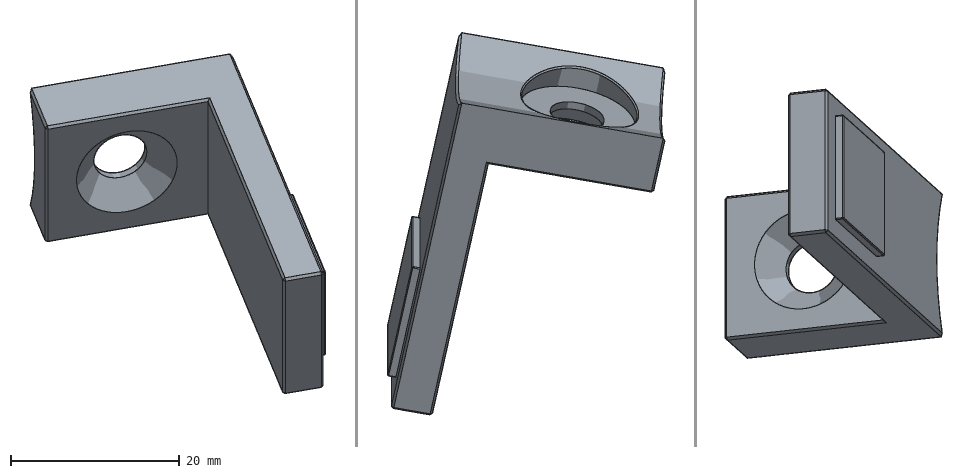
import cadquery as cq

LENGTH = 42.0
DEPTH = 25.0
HEIGHT = 18.0
ARM_THICKNESS = 5.0
LEG_THICKNESS = 7.5
EDGE_CHAMFER = 0.3

CRADLE_RADIUS = 20.0

HOLE_DIAMETER = 6.5
BORE_DIAMETER = 14.0
BORE_FLOOR_X = 3.6
BORE_LIP = 0.15
NECK_LENGTH = 0.95
HOLE_Y = 10.0

PAD_LENGTH = 15.0
PAD_WIDTH = 13.02
PAD_RISE = 1.0
PAD_END_MARGIN = 3.0
PAD_CHAMFER = 0.13

MID_Z = HEIGHT / 2


def make_bracket():
    """L-shaped body with the leg along Y and the arm along X."""
    arm_front = DEPTH - ARM_THICKNESS
    body = (
        cq.Workplane("XY")
        .polyline([
            (0, 0),
            (LEG_THICKNESS, 0),
            (LEG_THICKNESS, arm_front),
            (LENGTH, arm_front),
            (LENGTH, DEPTH),
            (0, DEPTH),
        ])
        .close()
        .extrude(HEIGHT)
    )
    half_height = HEIGHT / 2
    axis_x = -(CRADLE_RADIUS**2 - half_height**2) ** 0.5
    cradle = (
        cq.Workplane("XZ", origin=(axis_x, 0, MID_Z))
        .circle(CRADLE_RADIUS)
        .extrude(-DEPTH)
    )
    body = body.cut(cradle)

    cradle_edges = cq.selectors.BoxSelector((-0.4, 0.4, -0.4), (0.4, DEPTH - 0.4, HEIGHT + 0.4))
    inner_corner = cq.selectors.NearestToPointSelector((LEG_THICKNESS, arm_front, MID_Z))
    sharp_edges = body.edges(cradle_edges).vals() + body.edges(inner_corner).vals()
    chamfered = [
        edge for edge in body.edges().vals()
        if not any(edge.isSame(sharp) for sharp in sharp_edges)
    ]
    return body.newObject(chamfered).chamfer(EDGE_CHAMFER)


def cylinder_along_x(diameter, start_x, end_x):
    """Cylinder on the hole axis between two X positions."""
    return (
        cq.Workplane("YZ", origin=(start_x, HOLE_Y, MID_Z))
        .circle(diameter / 2)
        .extrude(end_x - start_x)
    )


def cut_hole(body):
    """Counterbored and countersunk hole with a fine chamfer around the bore mouth."""
    through_hole = cylinder_along_x(HOLE_DIAMETER, 0, LEG_THICKNESS)
    bore = cylinder_along_x(BORE_DIAMETER, 0, BORE_FLOOR_X)
    sink_start_x = BORE_FLOOR_X + NECK_LENGTH
    sink_depth = LEG_THICKNESS - sink_start_x
    countersink = (
        cq.Workplane("YZ", origin=(sink_start_x, HOLE_Y, MID_Z))
        .circle(HOLE_DIAMETER / 2)
        .extrude(sink_depth, taper=-45)
    )
    body = body.cut(through_hole).cut(bore).cut(countersink)
    mouth_box = cq.selectors.BoxSelector(
        (0, HOLE_Y - BORE_DIAMETER / 4, MID_Z - BORE_DIAMETER / 4),
        (BORE_FLOOR_X - 0.4, HOLE_Y + BORE_DIAMETER / 4, MID_Z + BORE_DIAMETER / 4),
    )
    return body.edges(mouth_box).chamfer(BORE_LIP)


def make_pad():
    """Rectangular pad with chamfered corners and outer rim."""
    center_x = LENGTH - PAD_END_MARGIN - PAD_LENGTH / 2
    pad = (
        cq.Workplane("XY")
        .box(PAD_LENGTH, PAD_RISE, PAD_WIDTH, centered=(True, False, True))
        .edges("|Y or >Y")
        .chamfer(PAD_CHAMFER)
    )
    return pad.translate((center_x, DEPTH, MID_Z))


result = cut_hole(make_bracket()).union(make_pad())